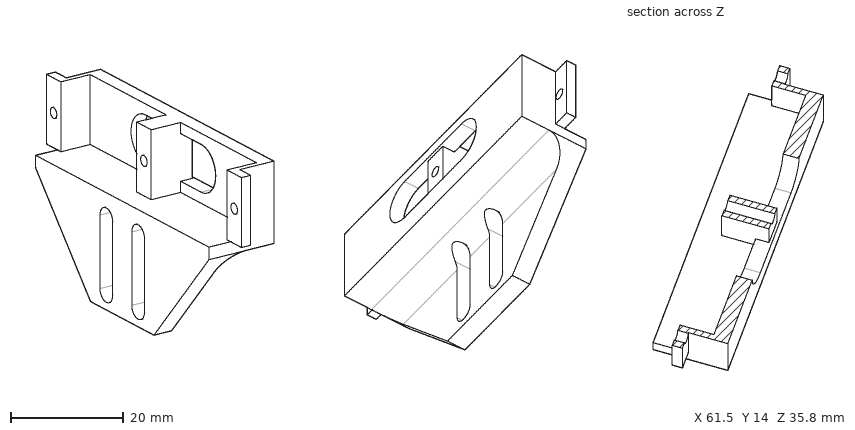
import cadquery as cq

overall_width = 61.5
overall_depth = 14.0
overall_height = 35.75
body_width = 54.7

tray_height = 13.35
back_wall = 3.0
tray_front = 4.7
shelf_thickness = 2.4
ear_width = 4.55
ear_thickness = 1.95
rib_width = 4.6
rib_rear_setback = 0.5

plate_thickness = 3.8
plate_bottom_width = 20.0
underside_fillet = 4.3

hole_diameter = 2.0
window_length = 26.6
window_height = 9.1
slot_width = 4.0
slot_length = 18.0
slot_spacing = 10.0
slot_bottom = 1.5

shelf_top = overall_height - tray_height
shelf_bottom = shelf_top - shelf_thickness
tray_middle = shelf_top + tray_height / 2
tray_depth = overall_depth - tray_front
ear_center = (overall_width - ear_width) / 2
side_wall = body_width / 2 - (overall_width / 2 - ear_width)


def box(width, depth, height, x, y, z):
    """Block centred on x, with its front face at y and its bottom at z."""
    return cq.Workplane("XY").box(width, depth, height, centered=(True, False, False)).translate((x, y, z))


def through_y(x, z):
    """Sketch plane facing front, for cutters that extrude towards +Y."""
    return cq.Workplane("XZ", origin=(x, 0, z))


shelf = box(body_width, overall_depth, shelf_thickness, 0, 0, shelf_bottom)
wall = box(body_width, back_wall, tray_height, 0, overall_depth - back_wall, shelf_top)
window = through_y(0, tray_middle).slot2D(window_length, window_height).extrude(-overall_depth)
rib = box(rib_width, tray_depth - rib_rear_setback, tray_height, 0, tray_front, shelf_top)
bracket = shelf.union(wall.cut(window)).union(rib)
for side in (-1, 1):
    wall_x = side * (body_width - side_wall) / 2
    bracket = bracket.union(box(side_wall, tray_depth, tray_height, wall_x, tray_front, shelf_top))
    bracket = bracket.union(
        box(ear_width, ear_thickness, tray_height, side * ear_center, tray_front, shelf_top)
    )

blend_back = plate_thickness + underside_fillet
plate_side = (
    cq.Workplane("YZ")
    .moveTo(0, 0)
    .lineTo(plate_thickness, 0)
    .lineTo(plate_thickness, shelf_bottom - underside_fillet)
    .radiusArc((blend_back, shelf_bottom), underside_fillet)
    .lineTo(0, shelf_bottom)
    .close()
    .extrude(body_width / 2, both=True)
)
taper = (
    cq.Workplane("XZ")
    .polyline([
        (-plate_bottom_width / 2, 0),
        (plate_bottom_width / 2, 0),
        (body_width / 2, shelf_bottom),
        (-body_width / 2, shelf_bottom),
    ])
    .close()
    .extrude(-overall_depth)
)
bracket = bracket.union(plate_side.intersect(taper))

for x in (-ear_center, 0, ear_center):
    bracket = bracket.cut(through_y(x, tray_middle).circle(hole_diameter / 2).extrude(-overall_depth))

slot_middle = slot_bottom + slot_length / 2
for x in (-slot_spacing / 2, slot_spacing / 2):
    bracket = bracket.cut(
        through_y(x, slot_middle).slot2D(slot_length, slot_width, 90).extrude(-overall_depth)
    )

result = bracket